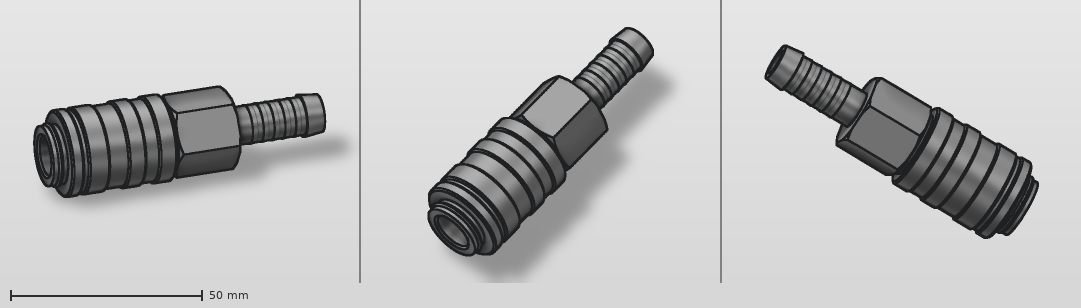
import cadquery as cq
import math

total_length = 76.0

nose_radius = 8.0
ring_radius = 8.5
ring_start = 1.4
ring_end = 2.65
ring_flank_bulge = 0.115

sleeve_diameter = 23.0
sleeve_radius = sleeve_diameter / 2
bevel = 0.495
groove_radius = sleeve_radius - bevel
grip_bands = [(3.95, 7.4), (8.5, 14.5), (19.5, 24.55), (28.05, 33.05)]
sleeve_start = grip_bands[0][0]
sleeve_end = grip_bands[-1][1]

neck_radius = 8.9
hex_start = 34.05
hex_end = 51.0
hex_sides = 6
hex_across_flats = 19.0
hex_corner_radius = hex_across_flats / 2 / math.cos(math.pi / hex_sides)
hex_start_face_radius = 9.5
hex_end_face_radius = 9.8
hex_chamfer_angle = math.radians(30)

tail_radius = 5.0
tip_length = 5.0
tip_radius = 5.6
barb_count = 5
barbed_length = 15.0
barb_pitch = barbed_length / barb_count
barb_cone_length = barb_pitch / 2
barb_radius = 5.2

socket_radius = 5.25
socket_mouth_radius = 5.85
socket_chamfer = socket_mouth_radius - socket_radius
socket_depth = hex_start
passage_radius = 3.5


def turn(profile):
    """Close a radius/Y profile and revolve it about the Y axis."""
    return profile.close().revolve(360, (0, 0, 0), (0, 1, 0))


def rod(radius, start, end):
    """Cylinder along Y between two stations."""
    profile = (
        cq.Workplane("XY")
        .moveTo(0, start)
        .lineTo(radius, start)
        .lineTo(radius, end)
        .lineTo(0, end)
    )
    return turn(profile)


def make_nose():
    ring_crest = (ring_start + ring_end) / 2
    profile = (
        cq.Workplane("XY")
        .lineTo(nose_radius, 0)
        .lineTo(nose_radius, ring_start)
        .sagittaArc((ring_radius, ring_crest), -ring_flank_bulge)
        .sagittaArc((nose_radius, ring_end), -ring_flank_bulge)
        .lineTo(nose_radius, sleeve_start)
        .lineTo(0, sleeve_start)
    )
    return turn(profile)


def make_sleeve():
    profile = cq.Workplane("XY").moveTo(0, sleeve_start)
    for start, end in grip_bands:
        profile = (
            profile.lineTo(groove_radius, start)
            .lineTo(sleeve_radius, start + bevel)
            .lineTo(sleeve_radius, end - bevel)
            .lineTo(groove_radius, end)
        )
    return turn(profile.lineTo(0, sleeve_end))


def make_hexagon():
    prism = (
        cq.Workplane("XZ", origin=(0, hex_start, 0))
        .polygon(hex_sides, 2 * hex_corner_radius)
        .extrude(hex_start - hex_end)
    )
    start_drop = (hex_corner_radius - hex_start_face_radius) * math.tan(hex_chamfer_angle)
    end_drop = (hex_corner_radius - hex_end_face_radius) * math.tan(hex_chamfer_angle)
    chamfer_envelope = turn(
        cq.Workplane("XY")
        .moveTo(0, hex_start)
        .lineTo(hex_start_face_radius, hex_start)
        .lineTo(hex_corner_radius, hex_start + start_drop)
        .lineTo(hex_corner_radius, hex_end - end_drop)
        .lineTo(hex_end_face_radius, hex_end)
        .lineTo(0, hex_end)
    )
    return prism.intersect(chamfer_envelope)


def make_tail():
    tip_base = total_length - tip_length
    profile = (
        cq.Workplane("XY")
        .moveTo(0, total_length)
        .lineTo(tail_radius, total_length)
        .lineTo(tip_radius, tip_base)
        .lineTo(tail_radius, tip_base)
    )
    for i in range(barb_count):
        barb_base = tip_base - (i + 1) * barb_pitch
        profile = (
            profile.lineTo(tail_radius, barb_base + barb_cone_length)
            .lineTo(barb_radius, barb_base)
            .lineTo(tail_radius, barb_base)
        )
    return turn(profile.lineTo(tail_radius, hex_end).lineTo(0, hex_end))


def make_bore():
    profile = (
        cq.Workplane("XY")
        .lineTo(socket_mouth_radius, 0)
        .lineTo(socket_radius, socket_chamfer)
        .lineTo(socket_radius, socket_depth)
        .lineTo(passage_radius, socket_depth)
        .lineTo(passage_radius, total_length)
        .lineTo(0, total_length)
    )
    return turn(profile)


neck = rod(neck_radius, sleeve_end, hex_start)
body = make_nose().union(make_sleeve()).union(neck).union(make_hexagon()).union(make_tail())
result = body.cut(make_bore())